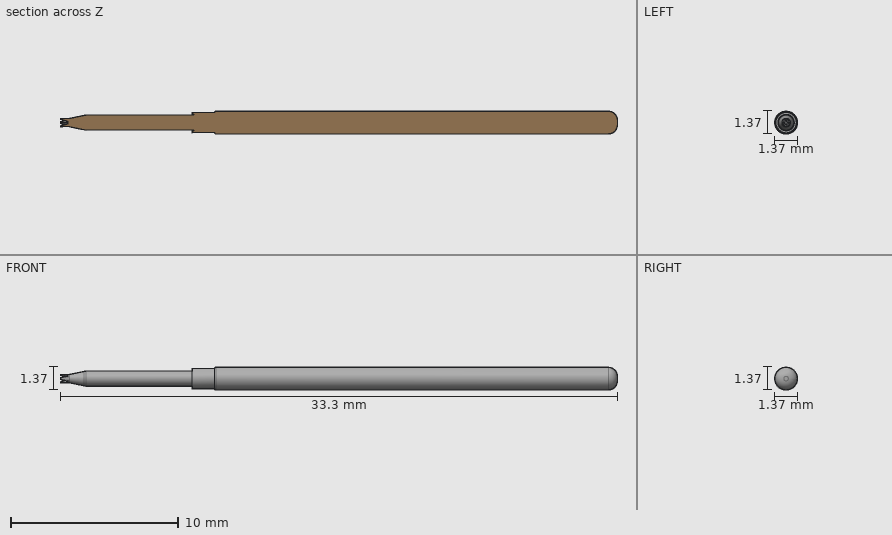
import cadquery as cq

total_length = 33.27
x_tip = -total_length / 2

tip_diameter = 0.51
tip_length = 0.52
taper_end = 1.41
plunger_diameter = 0.92
shoulder_length = 0.1
shoulder_height = 0.02

collar_start = 7.85
collar_diameter = 1.22
mouth_diameter = 0.98
mouth_depth = 0.1
tube_start = 9.2
tube_diameter = 1.37
tube_front_fillet = 0.07
tube_end_fillet = 0.55

slot_mouth_width = 0.27
slot_floor_width = 0.08
slot_depth = 0.43
slot_count = 2
slot_start_angle = 45


def cylinder(start, end, diameter):
    """Cylinder along X between two distances from the tip."""
    return (
        cq.Workplane("YZ", origin=(x_tip + start, 0, 0))
        .circle(diameter / 2)
        .extrude(end - start)
    )


def make_plunger():
    """Tip, taper, short shoulder and shaft, turned about X."""
    tip_radius = tip_diameter / 2
    shaft_radius = plunger_diameter / 2
    profile = (
        cq.Workplane("XY", origin=(x_tip, 0, 0))
        .lineTo(0, tip_radius)
        .lineTo(tip_length, tip_radius)
        .lineTo(taper_end, shaft_radius - shoulder_height)
        .lineTo(taper_end + shoulder_length, shaft_radius)
        .lineTo(tube_start, shaft_radius)
        .lineTo(tube_start, 0)
        .close()
    )
    return profile.revolve(360, (0, 0, 0), (1, 0, 0))


def make_barrel():
    """Collar with a shallow open mouth, followed by a tube with rounded ends."""
    collar = cylinder(collar_start, tube_start + tube_end_fillet, collar_diameter)
    tube = cylinder(tube_start, total_length, tube_diameter)
    tube = tube.faces("<X").edges().fillet(tube_front_fillet)
    tube = tube.faces(">X").edges().fillet(tube_end_fillet)
    collar = collar.cut(cylinder(collar_start, collar_start + mouth_depth, mouth_diameter))
    return collar.union(tube)


def crown_slot(angle):
    """Slot across the tip that narrows towards its floor, turned about X."""
    return (
        cq.Workplane("XY", origin=(x_tip, 0, -tip_diameter))
        .moveTo(0, -slot_mouth_width / 2)
        .lineTo(slot_depth, -slot_floor_width / 2)
        .lineTo(slot_depth, slot_floor_width / 2)
        .lineTo(0, slot_mouth_width / 2)
        .close()
        .extrude(2 * tip_diameter)
        .rotate((0, 0, 0), (1, 0, 0), angle)
    )


result = make_barrel().union(make_plunger())
for i in range(slot_count):
    result = result.cut(crown_slot(slot_start_angle + i * 180 / slot_count))